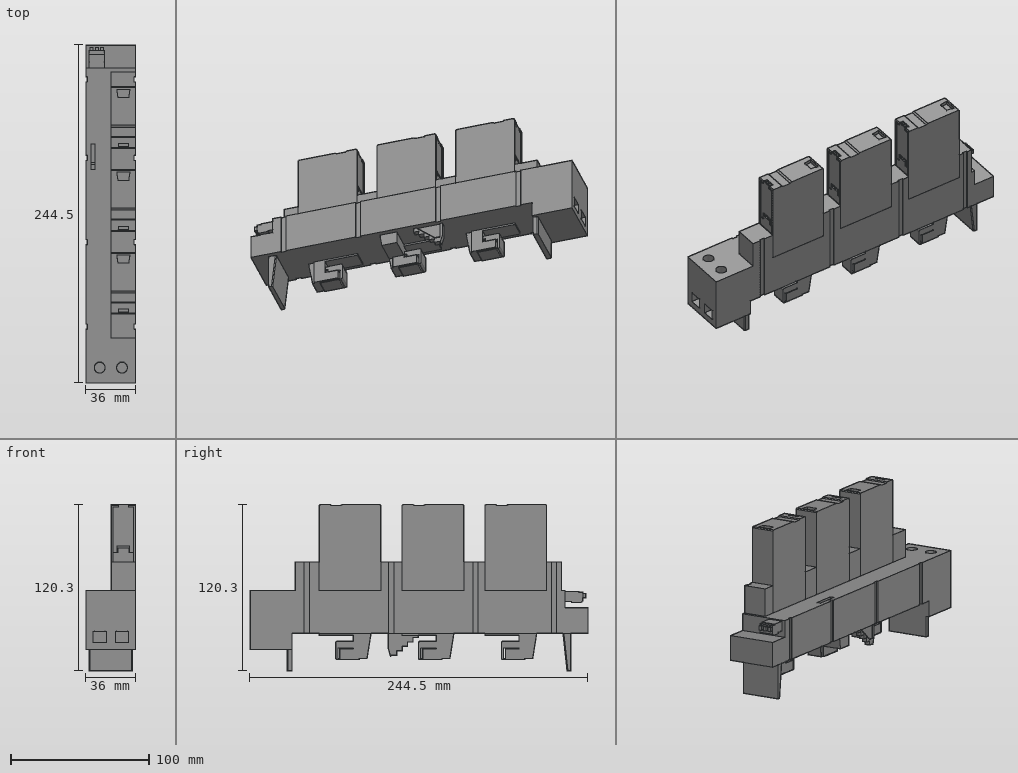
import cadquery as cq

WIDTH = 36.0
LENGTH = 244.5
BASE_HEIGHT = 31.0
LEDGE_START = 227.9
LEDGE_HEIGHT = 18.5
TERMINAL_LENGTH = 30.3
TERMINAL_DROP = 11.7

SEAT_LEFT = 18.3
SEAT_FRONT = 32.5
SEAT_REAR = 225.2
SEAT_TOP = 51.5

GROOVE_FRONTS = (39.0, 100.2, 161.1, 217.8)
GROOVE_WIDTH = 3.7
GROOVE_DEPTH = 1.0

TERMINAL_CENTRES = (10.0, 26.2)
SCREW_HOLE_DIAMETER = 7.8
SCREW_HOLE_Y = 11.2
PORT_WIDTH = 9.5
PORT_BOTTOM = -6.5
PORT_TOP = 1.5
PORT_DEPTH = SCREW_HOLE_Y + SCREW_HOLE_DIAMETER / 2

SLOT_LEFT = 3.7
SLOT_WIDTH = 3.0
SLOT_FRONT = 154.5
SLOT_LENGTH = 18.3
SLOT_DEPTH = 7.3
SLOT_BAR_FRONT = 158.2
SLOT_BAR_LENGTH = 1.5
SLOT_BAR_DROP = 2.5

CONNECTOR_LEFT = 2.5
CONNECTOR_WIDTH = 11.0
CONNECTOR_REAR = 240.5
CONNECTOR_TOP = 30.3
CONNECTOR_BOTTOM = 22.2
CONNECTOR_STEP_Y = 232.3
CONNECTOR_STEP = 0.7
CONNECTOR_LIP_LENGTH = 3.0
CONNECTOR_LIP_DROP = 0.5
CONNECTOR_CHAMFER = 1.2
PEG_LEFTS = (3.0, 6.8, 10.5)
PEG_WIDTH = 2.2
PEG_LENGTH = 2.2
PEG_BOTTOM = 25.7
PEG_TOP = 28.9

FOOT_BOTTOM = -27.1
FRONT_FOOT_LEFT = 2.2
FRONT_FOOT_WIDTH = WIDTH - 2 * FRONT_FOOT_LEFT
FRONT_FOOT_CHAMFER = 0.7
FRONT_FOOT_THICKNESS = 3.7
REAR_FOOT_LEFT = 3.2
REAR_FOOT_WIDTH = WIDTH - 2 * REAR_FOOT_LEFT
REAR_FOOT_CHAMFER = 0.7
REAR_FOOT_BACK = 232.0
REAR_FOOT_TOP_THICKNESS = 5.9
REAR_FOOT_TIP_THICKNESS = 3.0

RELAY_COUNT = 3
RELAY_PITCH = 60.0
FIRST_RELAY_FRONT = 50.0
RELAY_LENGTH = 44.7
RELAY_WIDTH = WIDTH - SEAT_LEFT
RELAY_TOP = 93.2
RELAY_CHAMFER = 0.7

DIP_FRONT = 8.0
DIP_REAR = 16.9
DIP_FRONT_RAMP = 0.7
DIP_REAR_RAMP = 1.5
DIP_DEPTH = 0.7

POCKET_REAR_GAP = 2.0
POCKET_LENGTH = 5.9
POCKET_REAR_WIDTH = 9.5
POCKET_FRONT_WIDTH = 7.8
POCKET_DEPTH = 2.5

COVER_RECESS = 0.7
COVER_MARGIN = 1.5
COVER_BOTTOM = 58.5
COVER_TOP = 91.2
TONGUE_WIDTH = 7.3
TONGUE_LIP = 0.7
TONGUE_NOTCH_LENGTH = 2.2
TONGUE_NOTCH_DEPTH = 1.5

PLATE_RECESS = 0.37
TAB_WIDTH = 7.8
TAB_TOP = 61.5
TAB_SLOT_WIDTH = 9.0
TAB_SLOT_TOP = 63.0
TAB_SLOT_DEPTH = 1.5

CLIP_LEFT = 19.5
CLIP_RIGHT = 31.8
CLIP_SETBACK = 1.2
CLIP_REAR_OFFSET = 37.7
CLIP_SLOPE = 3.0
CLIP_BACK_STRIP = 4.5
CLIP_NECK_LENGTH = 13.0
CLIP_LENGTH = 22.7
CLIP_DROP = 18.3
CLIP_TOE_TOP = -11.2
SPRING_FRONT = 25.7
SPRING_REAR = 8.5
SPRING_TOP = -5.6
SPRING_UNDERSIDE = -10.8
SPRING_BOTTOM = -19.0
SPRING_SIDE = 1.7
SPRING_CORNER = 1.2
SPRING_NOTCH_LENGTH = 1.7
SPRING_NOTCH_TOP = -8.0
SPRING_NOTCH_DEPTH = 1.2
PAD_THICKNESS = 1.5

SIDE_BLOCK_LEFT = 3.5
SIDE_BLOCK_DROP = 9.5
LEVER_LEFT = 3.5
LEVER_WIDTH = 3.7
LEVER_FRONT = 99.8
LEVER_REAR = 121.8
LEVER_BOTTOM = -16.6
TOOTH_COUNT = 5
TOOTH_RUN = 4.0
TOOTH_DROP = 3.2
LEVER_TIP_FRONT = 101.5
LEVER_BEND = -10.8
LEVER_POCKET_DEPTH = 0.7
LEVER_POCKET_FRONT = 101.7
LEVER_POCKET_CORNER = 105.6
LEVER_POCKET_REAR = 119.3
LEVER_POCKET_BOTTOM = -11.7


def block(x, y, z):
    """Box between the (low, high) limits given along each axis."""
    size = (x[1] - x[0], y[1] - y[0], z[1] - z[0])
    return cq.Workplane("XY").box(*size, centered=False).translate((x[0], y[0], z[0]))


def side_profile(points, left, right):
    """Outline of (y, z) points extruded along X from left to right."""
    return cq.Workplane("YZ", origin=(left, 0, 0)).polyline(points).close().extrude(right - left)


def relay_front(index):
    return FIRST_RELAY_FRONT + index * RELAY_PITCH


def centred(width):
    """X limits of a feature centred on the relay."""
    return ((RELAY_WIDTH - width) / 2, (RELAY_WIDTH + width) / 2)


def base_body():
    outline = [
        (0, -TERMINAL_DROP),
        (TERMINAL_LENGTH, -TERMINAL_DROP),
        (TERMINAL_LENGTH, 0),
        (LENGTH, 0),
        (LENGTH, LEDGE_HEIGHT),
        (LEDGE_START, LEDGE_HEIGHT),
        (LEDGE_START, BASE_HEIGHT),
        (0, BASE_HEIGHT),
    ]
    return side_profile(outline, 0, WIDTH)


def relay_seat():
    """Wall with one full-width gap for each relay."""
    seat = block((SEAT_LEFT, WIDTH), (SEAT_FRONT, SEAT_REAR), (BASE_HEIGHT, SEAT_TOP))
    for index in range(RELAY_COUNT):
        front = relay_front(index)
        gap = block((SEAT_LEFT, WIDTH), (front, front + RELAY_LENGTH), (BASE_HEIGHT, SEAT_TOP))
        seat = seat.cut(gap)
    return seat


def cut_side_grooves(body):
    for front in GROOVE_FRONTS:
        for left in (0, WIDTH - GROOVE_DEPTH):
            groove = block((left, left + GROOVE_DEPTH), (front, front + GROOVE_WIDTH), (0, SEAT_TOP))
            body = body.cut(groove)
    return body


def cut_terminals(body):
    """Square wire ports in the front face, each met by a screw hole from above."""
    for x in TERMINAL_CENTRES:
        port = block((x - PORT_WIDTH / 2, x + PORT_WIDTH / 2), (0, PORT_DEPTH), (PORT_BOTTOM, PORT_TOP))
        hole = (
            cq.Workplane("XY", origin=(x, SCREW_HOLE_Y, PORT_TOP))
            .circle(SCREW_HOLE_DIAMETER / 2)
            .extrude(BASE_HEIGHT - PORT_TOP)
        )
        body = body.cut(port).cut(hole)
    return body


def cut_adjuster_slot(body):
    x = (SLOT_LEFT, SLOT_LEFT + SLOT_WIDTH)
    floor = BASE_HEIGHT - SLOT_DEPTH
    slot = block(x, (SLOT_FRONT, SLOT_FRONT + SLOT_LENGTH), (floor, BASE_HEIGHT))
    bar = block(x, (SLOT_BAR_FRONT, SLOT_BAR_FRONT + SLOT_BAR_LENGTH), (floor, BASE_HEIGHT - SLOT_BAR_DROP))
    return body.cut(slot).union(bar)


def rear_connector():
    outline = [
        (LEDGE_START, CONNECTOR_TOP),
        (CONNECTOR_REAR - CONNECTOR_LIP_LENGTH, CONNECTOR_TOP),
        (CONNECTOR_REAR - CONNECTOR_LIP_LENGTH, CONNECTOR_TOP - CONNECTOR_LIP_DROP),
        (CONNECTOR_REAR, CONNECTOR_TOP - CONNECTOR_LIP_DROP),
        (CONNECTOR_REAR, CONNECTOR_BOTTOM + CONNECTOR_CHAMFER),
        (CONNECTOR_REAR - CONNECTOR_CHAMFER, CONNECTOR_BOTTOM),
        (CONNECTOR_STEP_Y, CONNECTOR_BOTTOM),
        (CONNECTOR_STEP_Y, CONNECTOR_BOTTOM + CONNECTOR_STEP),
        (LEDGE_START, CONNECTOR_BOTTOM + CONNECTOR_STEP),
    ]
    connector = side_profile(outline, CONNECTOR_LEFT, CONNECTOR_LEFT + CONNECTOR_WIDTH)
    for left in PEG_LEFTS:
        y = (CONNECTOR_REAR, CONNECTOR_REAR + PEG_LENGTH)
        connector = connector.union(block((left, left + PEG_WIDTH), y, (PEG_BOTTOM, PEG_TOP)))
    return connector


def front_foot():
    y = (TERMINAL_LENGTH - FRONT_FOOT_THICKNESS, TERMINAL_LENGTH)
    foot = block((FRONT_FOOT_LEFT, FRONT_FOOT_LEFT + FRONT_FOOT_WIDTH), y, (FOOT_BOTTOM, -TERMINAL_DROP))
    return foot.edges("|Z and <Y").chamfer(FRONT_FOOT_CHAMFER)


def rear_foot():
    outline = [
        (REAR_FOOT_BACK, 0),
        (REAR_FOOT_BACK, FOOT_BOTTOM),
        (REAR_FOOT_BACK - REAR_FOOT_TIP_THICKNESS, FOOT_BOTTOM),
        (REAR_FOOT_BACK - REAR_FOOT_TOP_THICKNESS, 0),
    ]
    foot = side_profile(outline, REAR_FOOT_LEFT, REAR_FOOT_LEFT + REAR_FOOT_WIDTH)
    sloped_face = foot.faces("<Y")
    return foot.newObject(sloped_face.edges("<X or >X").vals()).chamfer(REAR_FOOT_CHAMFER)


def rail_clip(rear):
    """Hooked clip with a spring strip around its toe; rear is the Y of its sloped back."""
    setback = CLIP_LEFT + CLIP_SETBACK
    neck = rear - CLIP_NECK_LENGTH
    toe = rear - CLIP_LENGTH
    back = side_profile(
        [
            (rear, 0),
            (rear - CLIP_SLOPE, -CLIP_DROP),
            (neck, -CLIP_DROP),
            (neck, 0),
        ],
        setback,
        CLIP_RIGHT,
    )
    hook = side_profile(
        [
            (rear - CLIP_BACK_STRIP, 0),
            (rear - CLIP_BACK_STRIP, -CLIP_DROP),
            (toe, -CLIP_DROP),
            (toe, CLIP_TOE_TOP),
            (neck, CLIP_TOE_TOP),
            (neck, 0),
        ],
        CLIP_LEFT,
        CLIP_RIGHT,
    )
    spring_front = rear - SPRING_FRONT
    spring_x = (setback, CLIP_RIGHT)
    spring = block(spring_x, (spring_front, rear - SPRING_REAR), (SPRING_BOTTOM, SPRING_TOP))
    spring = spring.edges("|X and <Y").fillet(SPRING_CORNER)
    opening = block(
        spring_x,
        (spring_front + SPRING_SIDE, rear - SPRING_REAR),
        (-CLIP_DROP, SPRING_UNDERSIDE),
    )
    notch = block(
        (setback, setback + SPRING_NOTCH_DEPTH),
        (neck - SPRING_NOTCH_LENGTH, neck),
        (SPRING_UNDERSIDE, SPRING_NOTCH_TOP),
    )
    return back.union(hook).union(spring.cut(opening).cut(notch))


def clip_pad(rear, front):
    return block((CLIP_LEFT, CLIP_RIGHT), (front, rear), (-PAD_THICKNESS, 0))


def side_block(rear):
    """Sloped-back block beside the middle clip."""
    slope = CLIP_SLOPE * SIDE_BLOCK_DROP / CLIP_DROP
    outline = [
        (rear, 0),
        (rear - slope, -SIDE_BLOCK_DROP),
        (rear - CLIP_NECK_LENGTH, -SIDE_BLOCK_DROP),
        (rear - CLIP_NECK_LENGTH, 0),
    ]
    return side_profile(outline, SIDE_BLOCK_LEFT, CLIP_RIGHT)


def toothed_lever():
    outline = [(LEVER_REAR, 0)]
    for tooth in range(TOOTH_COUNT):
        y = LEVER_REAR - tooth * TOOTH_RUN
        z = -(tooth + 1) * TOOTH_DROP
        outline += [(y, z), (y - TOOTH_RUN, z)]
    outline += [
        (LEVER_TIP_FRONT, LEVER_BOTTOM),
        (LEVER_FRONT, LEVER_BEND),
        (LEVER_FRONT, 0),
    ]
    lever = side_profile(outline, LEVER_LEFT, LEVER_LEFT + LEVER_WIDTH)
    pocket_outline = [
        (LEVER_POCKET_REAR, 0),
        (LEVER_POCKET_CORNER, LEVER_POCKET_BOTTOM),
        (LEVER_POCKET_FRONT, LEVER_POCKET_BOTTOM),
        (LEVER_POCKET_FRONT, 0),
    ]
    return lever.cut(side_profile(pocket_outline, LEVER_LEFT, LEVER_LEFT + LEVER_POCKET_DEPTH))


def socket_base():
    base = base_body().union(relay_seat())
    base = cut_side_grooves(base)
    base = cut_terminals(base)
    base = cut_adjuster_slot(base)
    base = base.union(rear_connector())
    base = base.union(front_foot()).union(rear_foot())
    for index in range(RELAY_COUNT):
        clip_rear = relay_front(index) + CLIP_REAR_OFFSET
        base = base.union(rail_clip(clip_rear))
        base = base.union(clip_pad(clip_rear - CLIP_NECK_LENGTH, relay_front(index)))
    middle_clip_rear = relay_front(1) + CLIP_REAR_OFFSET
    return base.union(side_block(middle_clip_rear)).union(toothed_lever())


def relay_case():
    """Relay block with chamfered top ends and the dip across its top."""
    case = block((0, RELAY_WIDTH), (0, RELAY_LENGTH), (BASE_HEIGHT, RELAY_TOP))
    case = case.edges("|X and >Z").chamfer(RELAY_CHAMFER)
    dip = [
        (DIP_FRONT, RELAY_TOP),
        (DIP_FRONT + DIP_FRONT_RAMP, RELAY_TOP - DIP_DEPTH),
        (DIP_REAR - DIP_REAR_RAMP, RELAY_TOP - DIP_DEPTH),
        (DIP_REAR, RELAY_TOP),
    ]
    return case.cut(side_profile(dip, 0, RELAY_WIDTH))


def grip_pocket():
    rear_left, rear_right = centred(POCKET_REAR_WIDTH)
    front_left, front_right = centred(POCKET_FRONT_WIDTH)
    rear = RELAY_LENGTH - POCKET_REAR_GAP
    front = rear - POCKET_LENGTH
    outline = [(rear_left, rear), (rear_right, rear), (front_right, front), (front_left, front)]
    floor = cq.Workplane("XY", origin=(0, 0, RELAY_TOP - POCKET_DEPTH))
    return floor.polyline(outline).close().extrude(POCKET_DEPTH)


def cut_front_cover(case):
    """Recess the cover and plate into the relay front, leaving the plate's tab standing."""
    inner_x = centred(RELAY_WIDTH - 2 * COVER_MARGIN)
    cover = block(inner_x, (0, COVER_RECESS), (COVER_BOTTOM, COVER_TOP))
    tongue = block(centred(TONGUE_WIDTH), (0, COVER_RECESS), (COVER_TOP, RELAY_TOP))
    plate = block(inner_x, (0, PLATE_RECESS), (SEAT_TOP, COVER_BOTTOM))
    tab_slot = block(centred(TAB_SLOT_WIDTH), (0, TAB_SLOT_DEPTH), (COVER_BOTTOM, TAB_SLOT_TOP))
    tab = block(centred(TAB_WIDTH), (PLATE_RECESS, TAB_SLOT_DEPTH), (COVER_BOTTOM, TAB_TOP))
    return case.cut(cover).cut(tongue).cut(plate).cut(tab_slot).union(tab)


def tongue_notch():
    """Pocket in the relay top, behind the lip left at the back of the tongue."""
    front = COVER_RECESS + TONGUE_LIP
    y = (front, front + TONGUE_NOTCH_LENGTH)
    return block(centred(TONGUE_WIDTH), y, (RELAY_TOP - TONGUE_NOTCH_DEPTH, RELAY_TOP))


def relay(front):
    body = cut_front_cover(relay_case()).cut(grip_pocket()).cut(tongue_notch())
    return body.translate((SEAT_LEFT, front, 0))


base = socket_base()
relays = [relay(relay_front(index)) for index in range(RELAY_COUNT)]

result = cq.Compound.makeCompound([base.val(), *[body.val() for body in relays]])